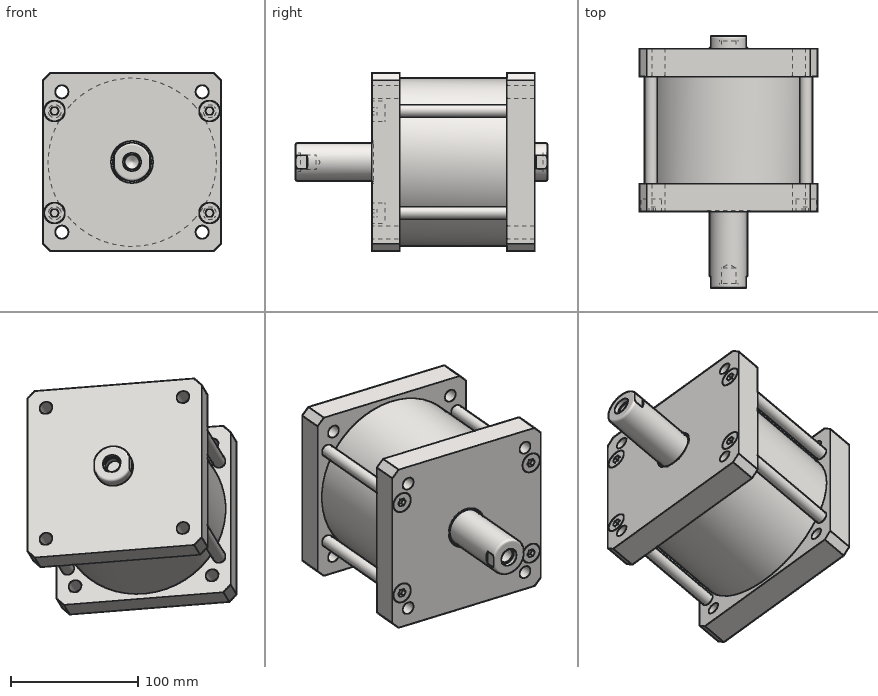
import cadquery as cq
import math

TOTAL_LENGTH = 198.0
PLATE_SIDE = 140.0
PLATE_THICKNESS = 22.0
PLATE_CORNER_CUT = 6.0
BODY_DIAMETER = 132.0
BODY_LENGTH = 84.0
SHAFT_DIAMETER = 30.0
REAR_STUB_LENGTH = 10.0

SHAFT_END_RADIUS = 2.0
FLAT_SPACING = 28.1
FLAT_LENGTH = 9.0
BORE_DIAMETER = 11.5
BORE_DEPTH = 15.8
BORE_TIP_ANGLE = 118.0
COUNTERBORE_DIAMETER = 14.3
COUNTERBORE_DEPTH = 4.0

SHAFT_CLEARANCE_DIAMETER = 33.0
SHAFT_CLEARANCE_DEPTH = 1.0

MOUNT_HOLE_DIAMETER = 10.0
MOUNT_HOLE_SPACING = 110.0
ROD_DIAMETER = 10.0
ROD_SPACING_X = 121.5
ROD_SPACING_Z = 80.0
HEAD_DIAMETER = 16.0
HEAD_BORE_DIAMETER = 16.5
HEAD_HEIGHT = 10.0
SOCKET_ACROSS_CORNERS = 7.0
SOCKET_DEPTH = 4.0

BODY_FRONT = -BODY_LENGTH / 2
BODY_REAR = BODY_LENGTH / 2
PLATE_FRONT = BODY_FRONT - PLATE_THICKNESS
PLATE_REAR = BODY_REAR + PLATE_THICKNESS
SHAFT_REAR = PLATE_REAR + REAR_STUB_LENGTH
SHAFT_FRONT = SHAFT_REAR - TOTAL_LENGTH


def section_at(y):
    """Sketch plane facing -Y at the given Y, with local x = X and local y = Z."""
    return cq.Workplane("XZ", origin=(0, y, 0))


def cylinder(diameter, y_start, y_end):
    return section_at(y_end).circle(diameter / 2).extrude(y_end - y_start)


def end_plate(y_start):
    plate = (
        section_at(y_start + PLATE_THICKNESS)
        .rect(PLATE_SIDE, PLATE_SIDE)
        .extrude(PLATE_THICKNESS)
        .edges("|Y")
        .chamfer(PLATE_CORNER_CUT)
    )
    holes = (
        section_at(y_start + PLATE_THICKNESS)
        .rect(MOUNT_HOLE_SPACING, MOUNT_HOLE_SPACING, forConstruction=True)
        .vertices()
        .circle(MOUNT_HOLE_DIAMETER / 2)
        .extrude(PLATE_THICKNESS)
    )
    return plate.cut(holes)


def rod_pattern(y):
    return (
        section_at(y)
        .rect(ROD_SPACING_X, ROD_SPACING_Z, forConstruction=True)
        .vertices()
    )


def tie_rods():
    return rod_pattern(BODY_REAR).circle(ROD_DIAMETER / 2).extrude(BODY_LENGTH)


def screw_head_cuts():
    """Thin gap around each flush screw head, and its hexagon socket."""
    gaps = (
        rod_pattern(PLATE_FRONT + HEAD_HEIGHT)
        .circle(HEAD_BORE_DIAMETER / 2)
        .circle(HEAD_DIAMETER / 2)
        .extrude(HEAD_HEIGHT)
    )
    sockets = (
        rod_pattern(PLATE_FRONT + SOCKET_DEPTH)
        .polygon(6, SOCKET_ACROSS_CORNERS)
        .extrude(SOCKET_DEPTH)
    )
    return gaps.union(sockets)


def shaft_clearance():
    return (
        section_at(PLATE_FRONT + SHAFT_CLEARANCE_DEPTH)
        .circle(SHAFT_CLEARANCE_DIAMETER / 2)
        .circle(SHAFT_DIAMETER / 2)
        .extrude(SHAFT_CLEARANCE_DEPTH)
    )


def flat_cut(y_end, inward):
    """Two flats in X at a shaft end; each runs out through a 45 degree ramp."""
    half_flat = FLAT_SPACING / 2
    ramp = SHAFT_DIAMETER / 2 - half_flat
    y_stop = y_end + inward * FLAT_LENGTH
    profile = [
        (half_flat, y_end),
        (half_flat + ramp, y_end),
        (half_flat + ramp, y_stop + inward * ramp),
        (half_flat, y_stop),
    ]
    flat = (
        cq.Workplane("XY")
        .polyline(profile)
        .close()
        .extrude(SHAFT_DIAMETER / 2, both=True)
    )
    return flat.union(flat.mirror("YZ"))


def centre_bore(y_end, inward):
    """Stepped blind bore with a drill-point bottom, turned about the Y axis."""
    tip_length = BORE_DIAMETER / 2 / math.tan(math.radians(BORE_TIP_ANGLE / 2))
    y_step = y_end + inward * COUNTERBORE_DEPTH
    y_bottom = y_end + inward * BORE_DEPTH
    profile = [
        (0, y_end),
        (COUNTERBORE_DIAMETER / 2, y_end),
        (COUNTERBORE_DIAMETER / 2, y_step),
        (BORE_DIAMETER / 2, y_step),
        (BORE_DIAMETER / 2, y_bottom),
        (0, y_bottom + inward * tip_length),
    ]
    return cq.Workplane("XY").polyline(profile).close().revolve(360, (0, 0), (0, 1))


def shaft():
    body = cylinder(SHAFT_DIAMETER, SHAFT_FRONT, SHAFT_REAR)
    body = body.faces("<Y or >Y").edges().fillet(SHAFT_END_RADIUS)
    for y_end, inward in ((SHAFT_FRONT, 1), (SHAFT_REAR, -1)):
        body = body.cut(flat_cut(y_end, inward)).cut(centre_bore(y_end, inward))
    return body


housing = (
    cylinder(BODY_DIAMETER, BODY_FRONT, BODY_REAR)
    .union(end_plate(PLATE_FRONT))
    .union(end_plate(BODY_REAR))
    .union(tie_rods())
    .cut(screw_head_cuts())
    .cut(shaft_clearance())
)
result = housing.union(shaft())